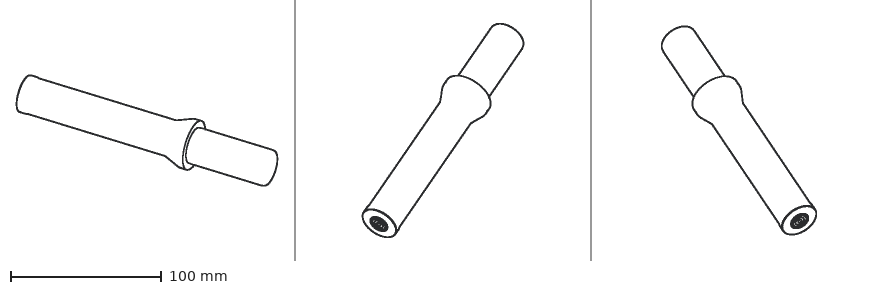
import cadquery as cq


overall_length = 182.0
shaft_radius = 25.0 / 2
relief_radius = 24.5 / 2
head_radius = 25.7 / 2
flange_radius = 34.0 / 2

face_radius = 9.6
crown_x = 0.4
crown_radius = 11.3
bevel_start_x = 0.7
bevel_start_radius = 12.5
bevel_end_x = 1.1
head_end_x = 5.5
head_taper_end_x = 7.1

cone_start_x = 108.8
cone_end_x = 120.7
flange_end_x = 125.8
relief_end_x = 126.5
relief_taper_end_x = 127.8
cone_blend_radius = 3.6

lead_in_start_x = 179.3
lead_in_end_x = 180.4
rear_round_radius = overall_length - lead_in_end_x

plug_radius = 6.4
plug_depth = 5.5
plug_chamfer = 0.5
ring_outer_radius = 9.6 / 2
ring_inner_radius = 6.4 / 2
ring_depth = 0.2
dimple_radius = 2.7 / 2
dimple_depth = 0.5


def turn(profile):
    """Revolve a closed (x, radius) profile about the X axis."""
    return profile.close().revolve(360, (0, 0, 0), (1, 0, 0))


def circle_at(x, radius):
    """Select the circular edge around X at one station and radius."""
    margin = 0.2
    reach = radius + margin
    return cq.selectors.BoxSelector(
        (x - margin, -reach, -reach), (x + margin, reach, reach), boundingbox=True
    )


def make_shaft():
    profile = (
        cq.Workplane("XY")
        .moveTo(plug_depth, 0)
        .lineTo(plug_depth, plug_radius)
        .lineTo(0, plug_radius)
        .lineTo(0, face_radius)
        .lineTo(crown_x, crown_radius)
        .lineTo(bevel_start_x, bevel_start_radius)
        .lineTo(bevel_end_x, head_radius)
        .lineTo(head_end_x, head_radius)
        .lineTo(head_taper_end_x, shaft_radius)
        .lineTo(cone_start_x, shaft_radius)
        .lineTo(cone_end_x, flange_radius)
        .lineTo(flange_end_x, flange_radius)
        .lineTo(flange_end_x, relief_radius)
        .lineTo(relief_end_x, relief_radius)
        .lineTo(relief_taper_end_x, shaft_radius)
        .lineTo(lead_in_start_x, shaft_radius)
        .lineTo(lead_in_end_x, relief_radius)
        .radiusArc((overall_length, relief_radius - rear_round_radius), rear_round_radius)
        .lineTo(overall_length, 0)
    )
    shaft = turn(profile)
    shaft = shaft.edges(circle_at(cone_start_x, shaft_radius)).fillet(cone_blend_radius)
    return shaft.edges(circle_at(cone_end_x, flange_radius)).fillet(cone_blend_radius)


def make_plug():
    """Chamfered disc flush with the shaft face, with a ring groove and a centre dimple."""
    profile = (
        cq.Workplane("XY")
        .moveTo(dimple_depth, 0)
        .lineTo(0, dimple_radius)
        .lineTo(0, ring_inner_radius)
        .lineTo(ring_depth, ring_inner_radius)
        .lineTo(ring_depth, ring_outer_radius)
        .lineTo(0, ring_outer_radius)
        .lineTo(0, plug_radius - plug_chamfer)
        .lineTo(plug_chamfer, plug_radius)
        .lineTo(plug_depth, plug_radius)
        .lineTo(plug_depth, 0)
    )
    return turn(profile)


shaft = make_shaft()
plug = make_plug()

result = cq.Compound.makeCompound([shaft.val(), plug.val()])